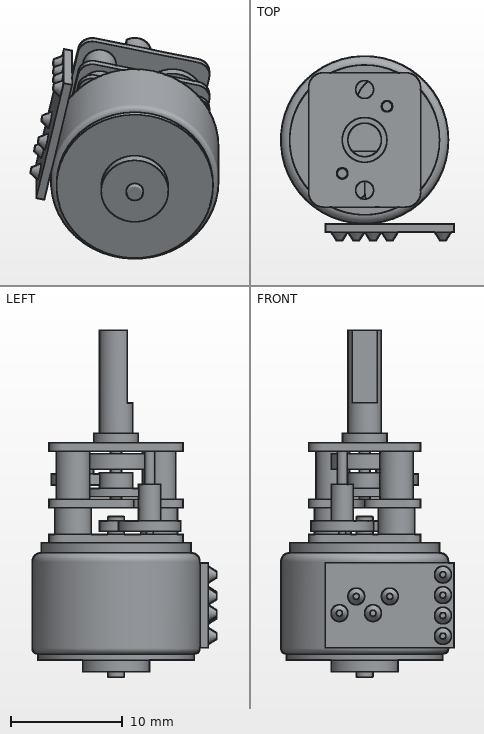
import cadquery as cq


CAN_RADIUS = 7.5
CAN_TOP_ROUND = 0.8
CAN_BOTTOM_ROUND = 0.5
FLANGE_RADIUS = CAN_RADIUS - CAN_TOP_ROUND
BASE_DISC_RADIUS = CAN_RADIUS - CAN_BOTTOM_ROUND
HUB_RADIUS = 3.0
MOTOR_SHAFT_RADIUS = 0.75
MOTOR_SHAFT_ROUND = 0.15
CAN_TOP = -0.9
CAN_BOTTOM = -9.95
BASE_DISC_BOTTOM = -10.5
HUB_BOTTOM = -11.55
MOTOR_SHAFT_BOTTOM = -12.05
MOTOR_SHAFT_TOP = 2.35

PLATE_WIDTH = 10.0
PLATE_DEPTH = 12.0
PLATE_CORNER_RADIUS = 1.3
BOTTOM_PLATE_TOP = 0.75
MIDDLE_PLATE_BOTTOM = 3.1
MIDDLE_PLATE_TOP = 3.9
TOP_PLATE_BOTTOM = 8.15
TOP_PLATE_TOP = 8.95
NOTCH_EDGE_X = 0.0
NOTCH_EDGE_Y = -1.6
PILLAR_X = 2.85
PILLAR_Y = 3.85
LOWER_PILLAR_RADIUS = 1.65
UPPER_PILLAR_RADIUS = 1.5
MOUNTING_HOLE_RADIUS = 0.8
MOUNTING_HOLE_Y = 4.5

ARBOR_X = 2.0
ARBOR_Y = 3.0
PIN_RADIUS = 0.45
PIN_HOLE_RADIUS = 0.5
PIN_STUB_RADIUS = 0.3
WHEEL_RADIUS = 2.8
ARBOR_PINION_RADIUS = 1.0
CENTRE_WHEEL_RADIUS = 3.0
CENTRE_PINION_RADIUS = 1.5
FIRST_WHEEL_BOTTOM = 1.0
FIRST_WHEEL_TOP = 1.95
FIRST_PINION_TOP = 5.2
IDLER_WHEEL_BOTTOM = 4.1
IDLER_WHEEL_TOP = 4.85
IDLER_PINION_TOP = 6.25
SECOND_WHEEL_BOTTOM = 5.15
SECOND_WHEEL_TOP = 6.15
OUTPUT_WHEEL_BOTTOM = 6.55
OUTPUT_WHEEL_TOP = 7.95

CENTRE_ARBOR_RADIUS = 0.5
BUSHING_RADIUS = 2.0
BUSHING_TOP = 9.8
OUTPUT_SHAFT_RADIUS = 1.5
OUTPUT_SHAFT_TOP = 19.0
FLAT_LENGTH = 6.5
FLAT_OFFSET = 1.0

BOARD_LEFT = -3.5
BOARD_RIGHT = 8.0
BOARD_THICKNESS = 0.75
BOARD_BOTTOM = -9.4
BOARD_TOP = -1.8
TERMINAL_BASE_RADIUS = 0.75
TERMINAL_TIP_RADIUS = 0.27
TERMINAL_HEIGHT = 0.75
COIL_TERMINAL_PITCH = 1.5
COIL_TERMINAL_ROWS = (-6.3, -4.8)
WIRE_TERMINAL_PITCH = 1.83
WIRE_TERMINAL_X = 7.0
TERMINALS_PER_GROUP = 4


def cylinder(radius, bottom, top, x=0.0, y=0.0):
    return cq.Workplane("XY", origin=(x, y, bottom)).circle(radius).extrude(top - bottom)


def motor_can():
    """Round can with its flange, base disc and rear hub."""
    can = cylinder(CAN_RADIUS, CAN_BOTTOM, CAN_TOP)
    can = can.faces("<Z").edges().fillet(CAN_BOTTOM_ROUND)
    can = can.faces(">Z").edges().fillet(CAN_TOP_ROUND)
    can = can.union(cylinder(FLANGE_RADIUS, CAN_TOP, 0))
    can = can.union(cylinder(BASE_DISC_RADIUS, BASE_DISC_BOTTOM, CAN_BOTTOM))
    return can.union(cylinder(HUB_RADIUS, HUB_BOTTOM, BASE_DISC_BOTTOM))


def motor_shaft():
    shaft = cylinder(MOTOR_SHAFT_RADIUS, MOTOR_SHAFT_BOTTOM, MOTOR_SHAFT_TOP)
    return shaft.faces("<Z or >Z").edges().fillet(MOTOR_SHAFT_ROUND)


def plate(bottom, top):
    blank = cq.Workplane("XY", origin=(0, 0, bottom)).rect(PLATE_WIDTH, PLATE_DEPTH).extrude(top - bottom)
    return blank.edges("|Z").fillet(PLATE_CORNER_RADIUS)


def notched_middle_plate():
    """Plate with its front-left corner cut away to clear the first pinion."""
    left = -PLATE_WIDTH / 2
    front = -PLATE_DEPTH / 2
    outline = (
        cq.Workplane("XY", origin=(0, 0, MIDDLE_PLATE_BOTTOM))
        .moveTo(left, PLATE_DEPTH / 2)
        .lineTo(left, NOTCH_EDGE_Y)
        .lineTo(NOTCH_EDGE_X, NOTCH_EDGE_Y)
        .lineTo(NOTCH_EDGE_X, front)
        .lineTo(PLATE_WIDTH / 2, front)
        .lineTo(PLATE_WIDTH / 2, PLATE_DEPTH / 2)
        .close()
    )
    blank = outline.extrude(MIDDLE_PLATE_TOP - MIDDLE_PLATE_BOTTOM)
    return blank.edges("|Z").fillet(PLATE_CORNER_RADIUS)


def drilled_top_plate():
    """Plate with two mounting holes and two clearance holes for the arbor pins."""
    top_plate = plate(TOP_PLATE_BOTTOM, TOP_PLATE_TOP)
    for side in (-1, 1):
        pin_x = side * ARBOR_X
        pin_y = side * ARBOR_Y
        screw_y = side * MOUNTING_HOLE_Y
        mounting_hole = cylinder(MOUNTING_HOLE_RADIUS, TOP_PLATE_BOTTOM, TOP_PLATE_TOP, 0, screw_y)
        pin_hole = cylinder(PIN_HOLE_RADIUS, TOP_PLATE_BOTTOM, TOP_PLATE_TOP, pin_x, pin_y)
        top_plate = top_plate.cut(mounting_hole).cut(pin_hole)
    return top_plate


def gearbox_frame():
    frame = plate(0, BOTTOM_PLATE_TOP).union(notched_middle_plate()).union(drilled_top_plate())
    for side in (-1, 1):
        x = side * PILLAR_X
        y = -side * PILLAR_Y
        frame = frame.union(cylinder(LOWER_PILLAR_RADIUS, BOTTOM_PLATE_TOP, MIDDLE_PLATE_BOTTOM, x, y))
        frame = frame.union(cylinder(UPPER_PILLAR_RADIUS, MIDDLE_PLATE_TOP, TOP_PLATE_BOTTOM, x, y))
    return frame


def first_arbor():
    """Front-left arbor: wheel and long pinion on a pin that stands on the bottom plate."""
    x = -ARBOR_X
    y = -ARBOR_Y
    stub = cylinder(PIN_STUB_RADIUS, BOTTOM_PLATE_TOP, FIRST_WHEEL_BOTTOM, x, y)
    wheel = cylinder(WHEEL_RADIUS, FIRST_WHEEL_BOTTOM, FIRST_WHEEL_TOP, x, y)
    pinion = cylinder(ARBOR_PINION_RADIUS, FIRST_WHEEL_TOP, FIRST_PINION_TOP, x, y)
    pin = cylinder(PIN_RADIUS, FIRST_PINION_TOP, TOP_PLATE_TOP, x, y)
    return stub.union(wheel).union(pinion).union(pin)


def second_arbor():
    """Back-right arbor: wheel and pinion on a pin that stands on the middle plate."""
    wheel = cylinder(WHEEL_RADIUS, SECOND_WHEEL_BOTTOM, SECOND_WHEEL_TOP, ARBOR_X, ARBOR_Y)
    pinion = cylinder(ARBOR_PINION_RADIUS, SECOND_WHEEL_TOP, OUTPUT_WHEEL_TOP, ARBOR_X, ARBOR_Y)
    pin = cylinder(PIN_RADIUS, MIDDLE_PLATE_TOP, TOP_PLATE_TOP, ARBOR_X, ARBOR_Y)
    return wheel.union(pinion).union(pin)


def centre_gears():
    """Motor pinion, idler and output wheel on the motor axis."""
    motor_pinion = cylinder(CENTRE_PINION_RADIUS, FIRST_WHEEL_BOTTOM, FIRST_WHEEL_TOP)
    arbor = cylinder(CENTRE_ARBOR_RADIUS, MIDDLE_PLATE_TOP, TOP_PLATE_BOTTOM)
    idler_wheel = cylinder(CENTRE_WHEEL_RADIUS, IDLER_WHEEL_BOTTOM, IDLER_WHEEL_TOP)
    idler_pinion = cylinder(CENTRE_PINION_RADIUS, IDLER_WHEEL_TOP, IDLER_PINION_TOP)
    output_wheel = cylinder(CENTRE_WHEEL_RADIUS, OUTPUT_WHEEL_BOTTOM, OUTPUT_WHEEL_TOP)
    return motor_pinion.union(arbor).union(idler_wheel).union(idler_pinion).union(output_wheel)


def output_shaft():
    """Bushing and shaft, the shaft end flattened on the front."""
    flat_depth = OUTPUT_SHAFT_RADIUS - FLAT_OFFSET
    flat_cut = cq.Workplane("XY").box(
        2 * OUTPUT_SHAFT_RADIUS, flat_depth, FLAT_LENGTH, centered=(True, False, False)
    )
    flat_cut = flat_cut.translate((0, -OUTPUT_SHAFT_RADIUS, OUTPUT_SHAFT_TOP - FLAT_LENGTH))
    shaft = cylinder(OUTPUT_SHAFT_RADIUS, BUSHING_TOP, OUTPUT_SHAFT_TOP).cut(flat_cut)
    return cylinder(BUSHING_RADIUS, TOP_PLATE_TOP, BUSHING_TOP).union(shaft)


def gearmotor_body():
    body = motor_can()
    parts = (motor_shaft(), gearbox_frame(), first_arbor(), second_arbor(), centre_gears(), output_shaft())
    for part in parts:
        body = body.union(part)
    return body


def terminal(x, z):
    """Solder cone standing on the front face of the board."""
    board_front = -CAN_RADIUS - BOARD_THICKNESS
    cone = cq.Solid.makeCone(
        TERMINAL_BASE_RADIUS,
        TERMINAL_TIP_RADIUS,
        TERMINAL_HEIGHT,
        pnt=cq.Vector(x, board_front, z),
        dir=cq.Vector(0, -1, 0),
    )
    return cq.Workplane(cone)


def terminal_board():
    width = BOARD_RIGHT - BOARD_LEFT
    height = BOARD_TOP - BOARD_BOTTOM
    board = cq.Workplane("XY").box(width, BOARD_THICKNESS, height, centered=False)
    board = board.translate((BOARD_LEFT, -CAN_RADIUS - BOARD_THICKNESS, BOARD_BOTTOM))
    board_middle_z = (BOARD_TOP + BOARD_BOTTOM) / 2
    for index in range(TERMINALS_PER_GROUP):
        step = index - (TERMINALS_PER_GROUP - 1) / 2
        coil_row_z = COIL_TERMINAL_ROWS[index % len(COIL_TERMINAL_ROWS)]
        board = board.union(terminal(step * COIL_TERMINAL_PITCH, coil_row_z))
        board = board.union(terminal(WIRE_TERMINAL_X, board_middle_z + step * WIRE_TERMINAL_PITCH))
    return board


gearmotor = gearmotor_body()
board = terminal_board()

result = cq.Compound.makeCompound([gearmotor.solids().val(), board.solids().val()])